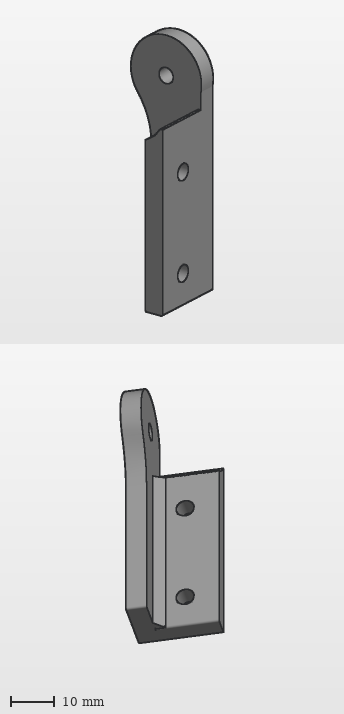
import cadquery as cq
import math

total_height = 62.2
total_depth = 20.0
hub_diameter = 20.0
hub_bore = 4.0

plate_thickness = 5.0
shank_width = 14.0
shank_right = 9.8
neck_radius = 20.0
edge_fillet = 0.5

flange_thickness = 5.0
flange_top = 46.05
hub_clearance = 1.0
brace_leg = 2.5
flange_hole = 4.15
hole_setback = 7.0
lower_hole_height = 8.0
hole_spacing = 25.0

hub_radius = hub_diameter / 2
hub_height = total_height - hub_radius
shank_left = shank_right - shank_width
flange_left = shank_right - flange_thickness
flange_depth = total_depth - plate_thickness


def front_plane(y):
    """XZ workplane at the given Y whose extrusions run toward -Y."""
    return cq.Workplane("XZ", origin=(0, y, 0))


def make_plate():
    neck_x = shank_left - neck_radius
    centre_distance = hub_radius + neck_radius
    neck_z = hub_height - math.sqrt(centre_distance**2 - neck_x**2)
    blend = hub_radius / centre_distance
    blend_point = (neck_x * blend, hub_height + (neck_z - hub_height) * blend)
    half_angle = math.acos(-neck_x / centre_distance) / 2
    neck_middle = (
        neck_x + neck_radius * math.cos(half_angle),
        neck_z + neck_radius * math.sin(half_angle),
    )
    hub_exit_z = hub_height - math.sqrt(hub_radius**2 - shank_right**2)

    plate = (
        front_plane(plate_thickness)
        .moveTo(shank_left, 0)
        .lineTo(shank_left, neck_z)
        .threePointArc(neck_middle, blend_point)
        .threePointArc((0, total_height), (shank_right, hub_exit_z))
        .lineTo(shank_right, 0)
        .close()
        .extrude(plate_thickness)
    )
    foot_corners = plate.faces("<Z").edges("|Y")
    plate = foot_corners.fillet(edge_fillet)
    return plate.faces(">Y").edges().fillet(edge_fillet)


def make_flange():
    flange = (
        front_plane(0)
        .moveTo(flange_left, 0)
        .lineTo(shank_right, 0)
        .lineTo(shank_right, flange_top)
        .lineTo(flange_left, flange_top)
        .close()
        .extrude(flange_depth)
    )
    return flange.faces("<Z").edges("|Y").fillet(edge_fillet)


def make_brace():
    return (
        cq.Workplane("XY")
        .moveTo(flange_left - brace_leg, 0)
        .lineTo(flange_left, 0)
        .lineTo(flange_left, -brace_leg)
        .close()
        .extrude(flange_top)
    )


def make_hub_relief():
    """Cylinder around the hub axis that hollows the top of the flange and brace."""
    return (
        front_plane(0)
        .center(0, hub_height)
        .circle(hub_radius + hub_clearance)
        .extrude(flange_depth)
    )


def make_flange_holes():
    hole_heights = (lower_hole_height, lower_hole_height + hole_spacing)
    return (
        cq.Workplane("YZ", origin=(flange_left, 0, 0))
        .pushPoints([(-hole_setback, height) for height in hole_heights])
        .circle(flange_hole / 2)
        .extrude(flange_thickness)
    )


def make_hub_bore():
    return (
        front_plane(plate_thickness)
        .center(0, hub_height)
        .circle(hub_bore / 2)
        .extrude(plate_thickness)
    )


arm = make_flange().union(make_brace()).cut(make_hub_relief()).cut(make_flange_holes())
result = make_plate().cut(make_hub_bore()).union(arm)